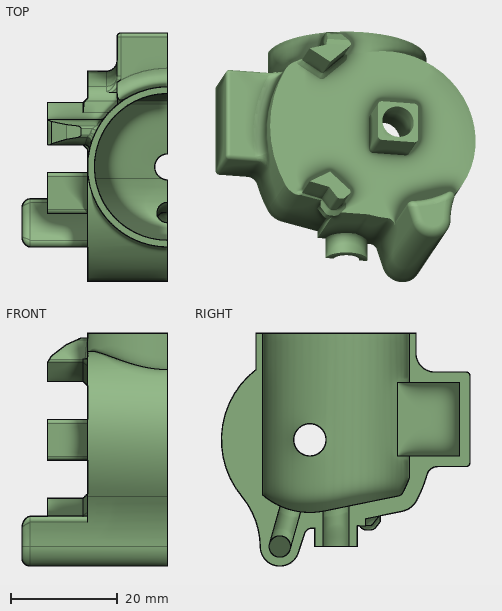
import cadquery as cq
import math


body_depth = 15.0
drum_radius = 16.6
flat_angle = math.radians(11.5)
back_centre_y = -1.03
back_radius = 23.9
corner_radius = 4.0
wall = 3.0

cup_y = 4.9
cup_outer_radius = body_depth
cup_bore_radius = 13.75
cup_top = 20.0

lobe_centre = (-5.65, -20.0)
lobe_radius = 3.7
lobe_front_blend = 14.95
lobe_rear_blend = 1.4
lobe_rear_angle = math.radians(18)
lobe_hole_diameter = 4.0
lobe_nose_end = -27.35
lobe_nose_gap_radius = 16.9
lobe_nose_top_fillet = 0.85
lobe_nose_end_fillet = 1.6

spout_diameter = 7.95
spout_bore_diameter = 4.85

peg_end = -22.55
peg_size = 7.7
peg_corner_radius = 0.75
peg_bore_diameter = 6.0

claw_flare = 0.85
claw_root = -11.2
claw_tip_fillet = 0.55
upper_claw_tip = [(8.85, 14.73), (10.55, 19.1), (12.5, 19.1)]
upper_claw_neck = (13.8, 14.25)
upper_claw_heel = [(16.95, 13.3), (13.0, 10.9)]
lower_claw_tip = [(8.85, -14.6), (10.4, -16.1), (11.55, -16.1)]
lower_claw_neck = (13.2, -14.0)
lower_claw_heel = [(16.95, -13.15), (13.05, -10.9)]
claw_ramp = [(peg_end, 14.5), (-21.8, 15.7), (-19.0, 17.85), (-16.12, 19.15)]
web_bottom = -16.12

block_rear_y = 30.0
block_half_width = 9.5
block_bottom = -5.05
block_top = 12.7
block_wall = 2.0
block_edge_fillet = 0.75
block_root_fillet = 2.0
block_cup_fillet = 3.5

beyond = 93.2
margin = 0.45
tolerance = 0.005


def toward(start, end, distance):
    """Point at a distance from start along the line to end."""
    ratio = distance / math.dist(start, end)
    return (start[0] + (end[0] - start[0]) * ratio, start[1] + (end[1] - start[1]) * ratio)


def arc_middle(centre, radius, start, end):
    """Middle of the minor arc between two points on a circle."""
    return toward(centre, ((start[0] + end[0]) / 2, (start[1] + end[1]) / 2), radius)


def mirrored(point):
    """Point on the other side of Z = 0."""
    return (point[0], -point[1])


def side_plane(x):
    """Plane across the X axis, for outlines in (y, z)."""
    return cq.Workplane("YZ", origin=(x, 0, 0))


def upright_cylinder(diameter, bottom, top):
    """Cylinder on the axis of the cup."""
    return cq.Workplane("XY", origin=(0, cup_y, bottom)).circle(diameter / 2).extrude(top - bottom)


def lower_flat_and_corner(inset):
    """Flat start, flat end, corner middle and back arc start of the lower outline, moved inward."""
    normal = (math.sin(flat_angle), -math.cos(flat_angle))
    to_flat = drum_radius - corner_radius
    off_back_centre = to_flat - back_centre_y * normal[0]
    along_flat = -back_centre_y * normal[1]
    along_flat += math.sqrt((back_radius - corner_radius)**2 - off_back_centre**2)
    centre = (
        to_flat * normal[0] - along_flat * normal[1],
        to_flat * normal[1] + along_flat * normal[0],
    )
    radius = corner_radius - inset
    flat_start = ((drum_radius - inset) * normal[0], (drum_radius - inset) * normal[1])
    flat_end = (centre[0] + radius * normal[0], centre[1] + radius * normal[1])
    back_start = toward((back_centre_y, 0), centre, back_radius - inset)
    return flat_start, flat_end, arc_middle(centre, radius, flat_end, back_start), back_start


def lobe_front_arc():
    """Concave arc touching the lobe circle and the drum: start, middle and end."""
    from_drum = drum_radius + lobe_front_blend
    from_lobe = lobe_radius + lobe_front_blend
    spacing = math.hypot(*lobe_centre)
    along = (from_drum**2 - from_lobe**2 + spacing**2) / (2 * spacing)
    across = math.sqrt(from_drum**2 - along**2)
    uy, uz = lobe_centre[0] / spacing, lobe_centre[1] / spacing
    centre = (along * uy + across * uz, along * uz - across * uy)
    on_lobe = toward(lobe_centre, centre, lobe_radius)
    on_drum = toward((0, 0), centre, drum_radius)
    return on_lobe, arc_middle(centre, lobe_front_blend, on_lobe, on_drum), on_drum


def lobe_rear_side():
    """Concave arc from the drum to the flat rear side, then the lower end of that flat."""
    ny, nz = math.cos(lobe_rear_angle), -math.sin(lobe_rear_angle)
    out = lobe_radius + lobe_rear_blend + ny * lobe_centre[0] + nz * lobe_centre[1]
    down = math.sqrt((drum_radius + lobe_rear_blend)**2 - out**2)
    centre = (out * ny + down * nz, out * nz - down * ny)
    on_drum = toward((0, 0), centre, drum_radius)
    on_flat = (centre[0] - lobe_rear_blend * ny, centre[1] - lobe_rear_blend * nz)
    on_lobe = (lobe_centre[0] + lobe_radius * ny, lobe_centre[1] + lobe_radius * nz)
    return on_drum, arc_middle(centre, lobe_rear_blend, on_drum, on_flat), on_flat, on_lobe


def body_outline(plane):
    """Closed outline of the drum, flats, back arc and lobe."""
    flat_start, flat_end, corner_middle, back_start = lower_flat_and_corner(0)
    rear_on_drum, rear_middle, rear_on_flat, rear_on_lobe = lobe_rear_side()
    front_on_lobe, front_middle, front_on_drum = lobe_front_arc()
    return (
        plane.moveTo(*mirrored(flat_start))
        .lineTo(*mirrored(flat_end))
        .threePointArc(mirrored(corner_middle), mirrored(back_start))
        .threePointArc((back_centre_y + back_radius, 0), back_start)
        .threePointArc(corner_middle, flat_end)
        .lineTo(*flat_start)
        .threePointArc(arc_middle((0, 0), drum_radius, flat_start, rear_on_drum), rear_on_drum)
        .threePointArc(rear_middle, rear_on_flat)
        .lineTo(*rear_on_lobe)
        .threePointArc((lobe_centre[0], lobe_centre[1] - lobe_radius), front_on_lobe)
        .threePointArc(front_middle, front_on_drum)
        .threePointArc((-drum_radius, 0), mirrored(flat_start))
        .close()
    )


def flared_block(body):
    """Rear part of the body with the block, which flares out where it leaves the back arc."""
    tall_block = (
        cq.Workplane("XY", origin=(-block_half_width, 0, block_bottom))
        .box(2 * block_half_width, block_rear_y, 2 * drum_radius, centered=False)
        .edges("(<Z and (<X or >X or >Y)) or (|Z and >Y)")
        .fillet(block_edge_fillet)
    )
    root_edges = cq.selectors.BoxSelector(
        (-block_half_width - margin, margin, block_bottom - margin),
        (block_half_width + margin, back_centre_y + back_radius, drum_radius),
    )
    trim = cq.Workplane("XY", origin=(0, cup_y + beyond / 2, block_top - beyond / 2))
    top_edges = cq.selectors.BoxSelector(
        (-block_half_width - block_root_fillet, cup_y + cup_bore_radius, block_top - margin),
        (block_half_width + block_root_fillet, block_rear_y + margin, block_top + margin),
    )
    return (
        body.union(tall_block)
        .edges(root_edges)
        .fillet(block_root_fillet)
        .intersect(trim.box(beyond, beyond, beyond))
        .edges(top_edges)
        .fillet(block_edge_fillet)
    )


def block_collar():
    """Concave ring blending the top of the rear block into the cup."""
    foot_radius = cup_outer_radius + block_cup_fillet
    collar_top = block_top + block_cup_fillet
    buried_bottom = block_top - block_edge_fillet
    ring = (
        cq.Workplane("XZ", origin=(0, cup_y, 0))
        .moveTo(cup_bore_radius, buried_bottom)
        .lineTo(foot_radius, buried_bottom)
        .lineTo(foot_radius, block_top)
        .radiusArc((cup_outer_radius, collar_top), block_cup_fillet)
        .lineTo(cup_bore_radius, collar_top)
        .close()
        .revolve(360, (0, 0, 0), (0, 1, 0))
    )
    limits = (
        cq.Workplane("XY", origin=(-block_half_width, cup_y, 0))
        .box(2 * block_half_width, block_rear_y, collar_top, centered=False)
        .edges(">Z and |Y")
        .fillet(block_cup_fillet)
    )
    return ring.intersect(limits)


def lobe_nose():
    """Free end of the lobe, standing clear of the drum, with rounded edges."""
    start = side_plane(lobe_nose_end)
    length = -body_depth - lobe_nose_end
    gap = start.circle(lobe_nose_gap_radius).extrude(length)
    back = start.center(back_radius - margin, 0).rect(2 * back_radius, 2 * back_radius).extrude(length)
    upper_edges = cq.selectors.BoxSelector(
        (lobe_nose_end, -drum_radius, lobe_centre[1] + lobe_radius / 2),
        (-body_depth, 0, 0),
    )
    return (
        body_outline(start).extrude(length)
        .cut(gap)
        .cut(back)
        .edges("|X")
        .edges(upper_edges)
        .fillet(lobe_nose_top_fillet)
        .faces("<X")
        .edges()
        .fillet(lobe_nose_end_fillet)
    )


def claw_outline(heel, tip, neck):
    """Closed outline with rounded tip corners."""
    outline = cq.Sketch().polygon([*heel, *tip, neck, heel[0]])
    for y, z in tip:
        corner = cq.selectors.NearestToPointSelector((y, z, 0))
        outline = outline.vertices(corner).fillet(claw_tip_fillet).reset()
    return outline


def claw_prism(outline):
    """Claw from its free end to the buried end."""
    return side_plane(peg_end).placeSketch(outline).extrude(claw_root - peg_end)


def face_flare(outline):
    """45 degree flare at the flat face of the body, split into parts within and outside its outline."""
    plane = side_plane(-body_depth - claw_flare)
    flare = plane.placeSketch(outline).extrude(claw_flare, taper=-45)
    slab = body_outline(plane).extrude(claw_flare)
    return flare.intersect(slab), flare.cut(slab)


def cup_fillet(outline):
    """Claw as it stands on the cup, with the concave fillet between the two."""
    cup = upright_cylinder(2 * cup_outer_radius, 0, cup_top + drum_radius)
    joined = cup.union(claw_prism(outline))
    seam = []
    for edge in joined.edges().vals():
        on_cup = all(
            abs(math.hypot(point.x, point.y - cup_y) - cup_outer_radius) < tolerance
            for point in edge.positions([0.3, 0.7])
        )
        if on_cup and 0 < edge.Center().z < cup_top:
            seam.append(edge)
    return joined.newObject(seam).fillet(claw_flare).cut(cup)


def upper_claw():
    """Claw against the cup, its top sloping down to the free end."""
    outline = claw_outline(upper_claw_heel, upper_claw_tip, upper_claw_neck)
    standing_outline = claw_outline(upper_claw_heel[1:], upper_claw_tip, upper_claw_neck)
    above_ramp = (
        cq.Workplane("XZ")
        .polyline(claw_ramp + [(claw_ramp[-1][0], beyond), (peg_end, beyond)])
        .close()
        .extrude(-beyond)
    )
    flare_within, _ = face_flare(outline)
    return claw_prism(outline).union(cup_fillet(standing_outline)).cut(above_ramp).union(flare_within)


def lower_claw():
    """Claw past the lower flat, with a web from its tip to the drum."""
    outline = claw_outline(lower_claw_heel, lower_claw_tip, lower_claw_neck)
    flare_within, flare_outside = face_flare(outline)
    tip_side = side_plane(-beyond).center(lower_claw_neck[0] - beyond / 2, 0).rect(beyond, beyond)
    web_start = math.sqrt(drum_radius**2 - web_bottom**2)
    web_end = lower_claw_tip[1][0]
    web = cq.Workplane("XY", origin=(-body_depth, web_start, web_bottom)).box(
        body_depth, web_end - web_start, wall, centered=False
    )
    return (
        claw_prism(outline)
        .union(flare_within)
        .union(flare_outside.intersect(tip_side.extrude(beyond)))
        .union(web)
    )


def square_peg():
    """Peg on the drum axis with rounded long edges."""
    return (
        side_plane(peg_end).rect(peg_size, peg_size).extrude(-body_depth - peg_end)
        .edges("|X")
        .fillet(peg_corner_radius)
    )


def cavity():
    """Bore of the cup, with a floor following the body outline."""
    flat_start, flat_end, corner_middle, back_start = lower_flat_and_corner(wall)
    radius = drum_radius - wall
    back_y = back_centre_y + back_radius - wall
    back_middle = arc_middle((back_centre_y, 0), back_radius - wall, back_start, (back_y, 0))
    above_floor = (
        side_plane(-body_depth)
        .moveTo(back_y, cup_top)
        .lineTo(back_y, 0)
        .threePointArc(back_middle, back_start)
        .threePointArc(corner_middle, flat_end)
        .lineTo(*flat_start)
        .threePointArc(arc_middle((0, 0), radius, flat_start, (-radius, 0)), (-radius, 0))
        .lineTo(-radius, cup_top)
        .close()
        .extrude(body_depth)
    )
    return above_floor.intersect(upright_cylinder(2 * cup_bore_radius, -cup_top, cup_top))


def block_pocket():
    """Hollow of the rear block, open to the cavity and to the flat side."""
    width = block_half_width - block_wall
    bottom = block_bottom + block_wall
    return cq.Workplane("XY", origin=(-width, cup_y, bottom)).box(
        width, block_rear_y - block_wall - cup_y, block_top - block_wall - bottom, centered=False
    )


def lobe_drain():
    """Hole from the cavity floor to the cross hole in the lobe, aimed at the lobe centre."""
    lean = math.degrees(math.atan2(-lobe_centre[0], -lobe_centre[1]))
    return (
        cq.Workplane("XY").circle(lobe_hole_diameter / 2).extrude(-math.hypot(*lobe_centre))
        .rotate((0, 0, 0), (1, 0, 0), -lean)
    )


kept_side = cq.Workplane("XY", origin=(-beyond / 2, 0, 0)).box(beyond, beyond, beyond)
body = body_outline(side_plane(-body_depth)).extrude(2 * body_depth)
shell = (
    body.union(upright_cylinder(2 * cup_outer_radius, 0, cup_top))
    .union(flared_block(body))
    .union(block_collar())
    .union(upright_cylinder(spout_diameter, -cup_top, wall - drum_radius))
    .intersect(kept_side)
)

peg_bore = side_plane(peg_end).circle(peg_bore_diameter / 2).extrude(-peg_end)
lobe_cross_hole = (
    side_plane(-body_depth).center(*lobe_centre).circle(lobe_hole_diameter / 2).extrude(body_depth)
)
result = (
    shell.union(lobe_nose())
    .union(square_peg())
    .union(upper_claw())
    .union(lower_claw())
    .cut(cavity())
    .cut(block_pocket())
    .cut(upright_cylinder(spout_bore_diameter, -cup_top, 0))
    .cut(peg_bore)
    .cut(lobe_drain())
    .cut(lobe_cross_hole)
)